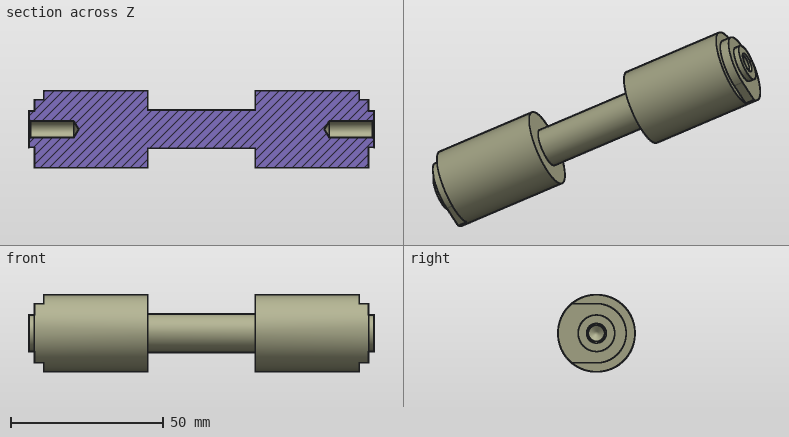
import cadquery as cq
import math

overall_length = 113.6
shaft_diameter = 12.7
spigot_diameter = 12.0
spigot_length = 1.8

roller_diameter = 25.4
roller_length = 37.4
tongue_length = 3.1
tongue_height = 19.5

hole_diameter = 5.3
hole_mouth_diameter = 6.5
hole_depth = 14.8
drill_point_angle = 118.0

roller_outer_x = overall_length / 2 - spigot_length
roller_inner_x = roller_outer_x - roller_length
shoulder_x = roller_outer_x - tongue_length


def cylinder_x(diameter, start_x, end_x):
    """Solid cylinder on the X axis between two X positions."""
    return cq.Workplane("YZ", origin=(start_x, 0, 0)).circle(diameter / 2).extrude(end_x - start_x)


def make_tongue():
    """Rounded towards +Y, straight sided to the roller rim towards -Y."""
    round_end = cylinder_x(tongue_height, shoulder_x, roller_outer_x)
    straight_side = cq.Workplane("XY").box(
        tongue_length, roller_diameter / 2, tongue_height, centered=(False, False, True)
    ).translate((shoulder_x, -roller_diameter / 2, 0))
    rim = cylinder_x(roller_diameter, shoulder_x, roller_outer_x)
    return round_end.union(straight_side.intersect(rim))


def make_centre_hole():
    """Cutter with a 45 degree countersink and a conical drill point."""
    radius = hole_diameter / 2
    mouth_radius = hole_mouth_diameter / 2
    face_x = overall_length / 2
    bottom_x = face_x - hole_depth
    point_length = radius / math.tan(math.radians(drill_point_angle / 2))
    profile = [
        (face_x, 0),
        (face_x, mouth_radius),
        (face_x - (mouth_radius - radius), radius),
        (bottom_x, radius),
        (bottom_x - point_length, 0),
    ]
    return cq.Workplane("XY").polyline(profile).close().revolve(360, (0, 0, 0), (1, 0, 0))


def make_half():
    """The +X half of the part."""
    shaft = cylinder_x(shaft_diameter, 0, shoulder_x)
    spigot = cylinder_x(spigot_diameter, shoulder_x, overall_length / 2)
    roller = cylinder_x(roller_diameter, roller_inner_x, shoulder_x)
    return shaft.union(roller).union(make_tongue()).union(spigot).cut(make_centre_hole())


half = make_half()
result = half.union(half.mirror("YZ"))